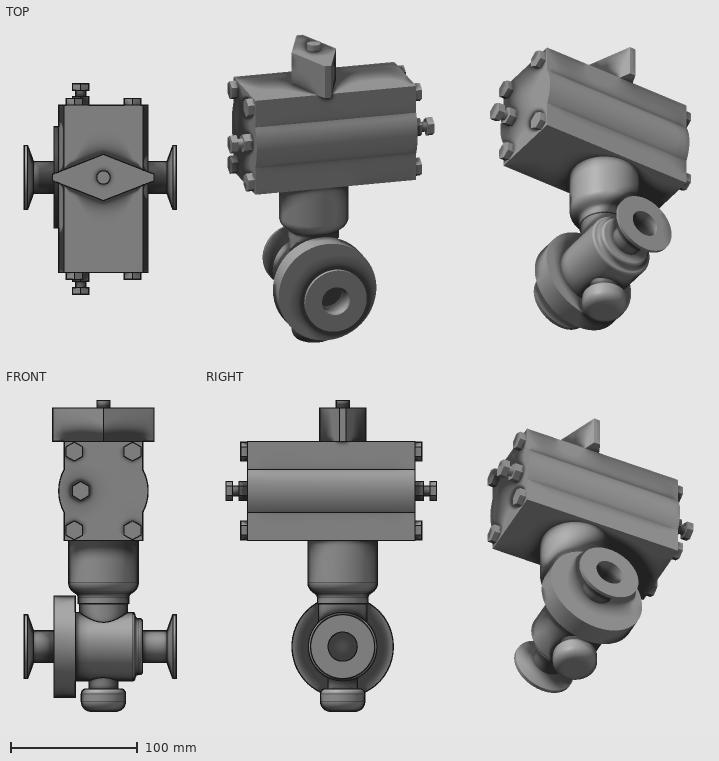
import cadquery as cq
import math


inlet_face_x = -62.5
outlet_face_x = 57.5
ferrule_radius = 50.5 / 2
ferrule_lip = 2.85
ferrule_back_angle = 20
pipe_radius = 25.4 / 2
bore_radius = 23 / 2

clamp_disc_radius = 80 / 2
clamp_disc_x = -39
clamp_disc_thickness = 17
barrel_radius = 54 / 2
barrel_end_x = 24.8
barrel_end_fillet = 2
collar_radius = 44 / 2
collar_end_x = 30.8
collar_root_fillet = 3
collar_end_fillet = 2

bonnet_radius = 55 / 2
bonnet_top_z = 83.6
bonnet_straight_bottom_z = 50.6
bonnet_convex_radius = 9
bonnet_concave_radius = 3.6
bonnet_taper_angle = math.radians(55)
ring_radius = 40 / 2
ring_bottom_z = 33.6
ring_shoulder_height = 0.5
neck_radius = 38 / 2

plug_stem_radius = 23 / 2
plug_cap_radius = 35 / 2
plug_cap_top_z = -33.2
plug_bottom_z = -51
plug_top_fillet = 4
plug_bottom_fillet = 8

actuator_center_y = -9
actuator_width = 62
actuator_length = 132
actuator_height = 78
actuator_center_z = bonnet_top_z + actuator_height / 2
actuator_top_z = bonnet_top_z + actuator_height
bulge_radius = 35.3
bulge_half_height = math.sqrt(bulge_radius ** 2 - (actuator_width / 2) ** 2)

indicator_length = 80
indicator_width = 36.4
indicator_tip_width = 5.2
indicator_height = 26.5
shaft_radius = 10.5 / 2
overall_height = 244.9
shaft_top_z = plug_bottom_z + overall_height

hex_across_flats = 13
hex_across_corners = hex_across_flats / math.cos(math.radians(30))
bolt_head_height = 5.3
cover_bolt_x = 22.9
cover_bolt_z_offset = 31
stop_screw_x = -17.9
stop_nut_height = 6.8
stop_screw_reach = 17
stop_shank_radius = 8 / 2


def disc_along_x(radius, start_x, end_x):
    """Cylinder on the flow axis."""
    return cq.Workplane("YZ", origin=(start_x, 0, 0)).circle(radius).extrude(end_x - start_x)


def disc_along_z(radius, start_z, end_z):
    """Cylinder on the stem axis."""
    return cq.Workplane("XY", origin=(0, 0, start_z)).circle(radius).extrude(end_z - start_z)


def pipe_end(face_x, root_x):
    """Ferrule with a conical back and a pipe stub that runs on to root_x."""
    inward = math.copysign(1, root_x - face_x)
    cone_length = (ferrule_radius - pipe_radius) * math.tan(math.radians(ferrule_back_angle))
    lip_x = face_x + inward * ferrule_lip
    cone_end_x = lip_x + inward * cone_length
    return (
        cq.Workplane("XZ")
        .moveTo(face_x, 0)
        .lineTo(face_x, ferrule_radius)
        .lineTo(lip_x, ferrule_radius)
        .lineTo(cone_end_x, pipe_radius)
        .lineTo(root_x, pipe_radius)
        .lineTo(root_x, 0)
        .close()
        .revolve(360, (0, 0, 0), (1, 0, 0))
    )


def make_barrel():
    """Clamp disc, rounded barrel and the stepped collar on its outlet end."""
    clamp_disc = disc_along_x(clamp_disc_radius, clamp_disc_x, clamp_disc_x + clamp_disc_thickness)
    barrel = disc_along_x(barrel_radius, clamp_disc_x, barrel_end_x)
    barrel = barrel.faces(">X").edges().fillet(barrel_end_fillet)

    diagonal = math.sqrt(0.5)
    root_end_x = barrel_end_x + collar_root_fillet
    root_top = collar_radius + collar_root_fillet
    rounding_start_x = collar_end_x - collar_end_fillet
    rounding_center = collar_radius - collar_end_fillet
    collar = (
        cq.Workplane("XZ")
        .moveTo(barrel_end_x, 0)
        .lineTo(barrel_end_x, root_top)
        .threePointArc(
            (root_end_x - collar_root_fillet * diagonal, root_top - collar_root_fillet * diagonal),
            (root_end_x, collar_radius),
        )
        .lineTo(rounding_start_x, collar_radius)
        .threePointArc(
            (
                rounding_start_x + collar_end_fillet * diagonal,
                rounding_center + collar_end_fillet * diagonal,
            ),
            (collar_end_x, rounding_center),
        )
        .lineTo(collar_end_x, 0)
        .close()
        .revolve(360, (0, 0, 0), (1, 0, 0))
    )
    return clamp_disc.union(barrel).union(collar)


def make_bonnet():
    """Bonnet that rounds into a short taper, flares onto a shouldered ring and ends in a plain neck."""
    sine = math.sin(bonnet_taper_angle)
    cosine = math.cos(bonnet_taper_angle)
    half_sine = math.sin(bonnet_taper_angle / 2)
    half_cosine = math.cos(bonnet_taper_angle / 2)

    convex_center = bonnet_radius - bonnet_convex_radius
    taper_top_radius = convex_center + bonnet_convex_radius * cosine
    taper_top_z = bonnet_straight_bottom_z - bonnet_convex_radius * sine
    concave_center = ring_radius + bonnet_concave_radius
    taper_bottom_radius = concave_center - bonnet_concave_radius * cosine
    taper_bottom_z = taper_top_z - (taper_top_radius - taper_bottom_radius) * cosine / sine
    ring_straight_top_z = taper_bottom_z - bonnet_concave_radius * sine

    profile = (
        cq.Workplane("XZ")
        .moveTo(0, bonnet_top_z)
        .lineTo(bonnet_radius, bonnet_top_z)
        .lineTo(bonnet_radius, bonnet_straight_bottom_z)
        .threePointArc(
            (
                convex_center + bonnet_convex_radius * half_cosine,
                bonnet_straight_bottom_z - bonnet_convex_radius * half_sine,
            ),
            (taper_top_radius, taper_top_z),
        )
        .lineTo(taper_bottom_radius, taper_bottom_z)
        .threePointArc(
            (
                concave_center - bonnet_concave_radius * half_cosine,
                ring_straight_top_z + bonnet_concave_radius * half_sine,
            ),
            (ring_radius, ring_straight_top_z),
        )
        .lineTo(ring_radius, ring_bottom_z + ring_shoulder_height)
        .lineTo(neck_radius, ring_bottom_z)
        .lineTo(neck_radius, 0)
        .lineTo(0, 0)
        .close()
    )
    return profile.revolve(360, (0, 0, 0), (0, 1, 0))


def make_drain_plug():
    """Short stem with a rounded cap under the barrel."""
    stem = disc_along_z(plug_stem_radius, plug_cap_top_z, 0)
    cap = disc_along_z(plug_cap_radius, plug_bottom_z, plug_cap_top_z)
    cap = cap.faces(">Z").edges().fillet(plug_top_fillet)
    cap = cap.faces("<Z").edges().fillet(plug_bottom_fillet)
    return stem.union(cap)


def make_valve():
    """Closed valve: solid core with a blind bore in each pipe stub."""
    disc_end_x = clamp_disc_x + clamp_disc_thickness
    valve = (
        make_barrel()
        .union(pipe_end(inlet_face_x, disc_end_x))
        .union(pipe_end(outlet_face_x, barrel_end_x))
        .union(make_bonnet())
        .union(make_drain_plug())
    )
    inlet_bore = disc_along_x(bore_radius, inlet_face_x, clamp_disc_x)
    outlet_bore = disc_along_x(bore_radius, collar_end_x, outlet_face_x)
    return valve.cut(inlet_bore).cut(outlet_bore)


def end_plane(side):
    """Plane on an actuator end face, its normal pointing outward; side is -1 or +1 along Y."""
    face_y = actuator_center_y + side * actuator_length / 2
    return cq.Plane(origin=(0, face_y, actuator_center_z), xDir=(0, 0, 1), normal=(0, side, 0))


def fastener_center(side, x, z_offset):
    """Local point on an end plane; local X is global Z and local Y is global X times side."""
    return (z_offset, side * x)


def hex_prisms(side, points, start, height):
    """Hexagon prisms with corners up and down, starting a given distance off the end face."""
    return (
        cq.Workplane(end_plane(side))
        .workplane(offset=start)
        .pushPoints(points)
        .polygon(6, hex_across_corners)
        .extrude(height)
    )


def end_fasteners(side):
    """Four cover bolts plus a stop screw with its lock nut on one end face."""
    bolt_points = [
        fastener_center(side, x, z)
        for x in (-cover_bolt_x, cover_bolt_x)
        for z in (-cover_bolt_z_offset, cover_bolt_z_offset)
    ]
    stop_point = [fastener_center(side, stop_screw_x, 0)]
    screw_head_start = stop_screw_reach - bolt_head_height
    cover_bolts = hex_prisms(side, bolt_points, 0, bolt_head_height)
    lock_nut = hex_prisms(side, stop_point, 0, stop_nut_height)
    screw_head = hex_prisms(side, stop_point, screw_head_start, bolt_head_height)
    shank = (
        cq.Workplane(end_plane(side))
        .pushPoints(stop_point)
        .circle(stop_shank_radius)
        .extrude(screw_head_start)
    )
    return [cover_bolts, lock_nut, shank, screw_head]


def make_actuator():
    """Bulged actuator block with indicator, stub shaft and end fasteners."""
    half_width = actuator_width / 2
    half_height = actuator_height / 2
    front_y = actuator_center_y - actuator_length / 2
    actuator = (
        cq.Workplane("XZ", origin=(0, front_y, actuator_center_z))
        .moveTo(-half_width, -half_height)
        .lineTo(half_width, -half_height)
        .lineTo(half_width, -bulge_half_height)
        .threePointArc((bulge_radius, 0), (half_width, bulge_half_height))
        .lineTo(half_width, half_height)
        .lineTo(-half_width, half_height)
        .lineTo(-half_width, bulge_half_height)
        .threePointArc((-bulge_radius, 0), (-half_width, -bulge_half_height))
        .close()
        .extrude(-actuator_length)
    )

    tip_x = indicator_length / 2
    tip_y = indicator_tip_width / 2
    middle_y = indicator_width / 2
    indicator = (
        cq.Workplane("XY", origin=(0, 0, actuator_top_z))
        .moveTo(-tip_x, -tip_y)
        .lineTo(0, -middle_y)
        .lineTo(tip_x, -tip_y)
        .lineTo(tip_x, tip_y)
        .lineTo(0, middle_y)
        .lineTo(-tip_x, tip_y)
        .close()
        .extrude(indicator_height)
    )
    shaft = disc_along_z(shaft_radius, actuator_top_z, shaft_top_z)

    actuator = actuator.union(indicator).union(shaft)
    for side in (-1, 1):
        for fastener in end_fasteners(side):
            actuator = actuator.union(fastener)
    return actuator


valve = make_valve()
actuator = make_actuator()

result = cq.Compound.makeCompound([valve.val(), actuator.val()])